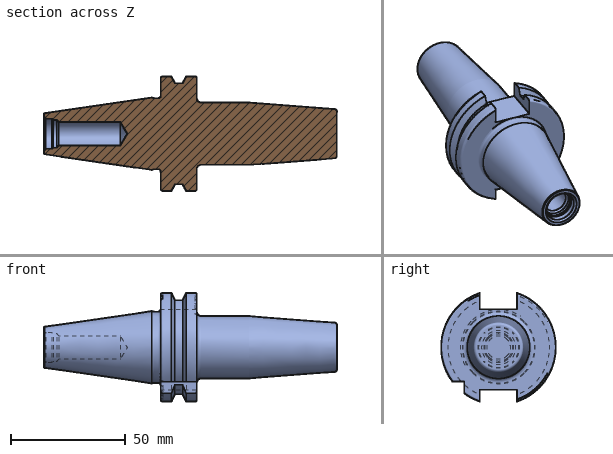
import cadquery as cq
import math

total_length = 127.6

taper_length = 47.0
gauge_radius = 15.8
taper_ratio = 7 / 24
taper_end_radius = gauge_radius - taper_length * taper_ratio / 2
taper_end_chamfer = 0.3

relief_radius = 15.6
relief_cone_length = 1.0
relief_fillet = 1.0

flange_start = 50.8
flange_width = 15.8
flange_end = flange_start + flange_width
flange_radius = 25.0
flange_edge_fillet = 0.9
groove_start = 55.5
groove_width = 6.4
groove_end = groove_start + groove_width
groove_flank_width = 1.5
groove_depth = 2.9

slot_width = 16.1
top_slot_floor = 16.6
bottom_slot_floor = 18.5
notch_offset = 14.9

nose_radius = 13.7
nose_base_fillet = 1.8
nose_cylinder_end = 89.2
nose_tip_radius = 10.7
nose_tip_fillet = 1.1

mouth_radius = 7.4
counterbore_radius = 6.5
counterbore_depth = 3.5
pilot_radius = 6.0
pilot_end = 5.5
thread_radius = 5.1
bore_depth = 33.2
drill_half_angle = math.radians(59)


def revolve_about_x(outline):
    return outline.close().revolve(360, (0, 0, 0), (1, 0, 0))


def make_taper():
    chamfer_slope = taper_end_chamfer * taper_ratio / 2
    return revolve_about_x(
        cq.Workplane("XY")
        .lineTo(0, taper_end_radius - taper_end_chamfer)
        .lineTo(taper_end_chamfer, taper_end_radius + chamfer_slope)
        .lineTo(taper_length, gauge_radius)
        .lineTo(taper_length + relief_cone_length, relief_radius)
        .lineTo(flange_start - relief_fillet, relief_radius)
        .radiusArc((flange_start, relief_radius + relief_fillet), -relief_fillet)
        .lineTo(flange_start, 0)
    )


def make_flange():
    disc = cq.Workplane("YZ", origin=(flange_start, 0, 0)).circle(flange_radius).extrude(flange_width)
    disc = disc.edges("%CIRCLE").fillet(flange_edge_fillet)
    groove_floor = flange_radius - groove_depth
    groove = revolve_about_x(
        cq.Workplane("XY")
        .moveTo(groove_start, flange_radius)
        .lineTo(groove_start + groove_flank_width, groove_floor)
        .lineTo(groove_end - groove_flank_width, groove_floor)
        .lineTo(groove_end, flange_radius)
    )
    return disc.cut(groove)


def flange_cutter(y_min, y_max, z_min, z_max):
    return (
        cq.Workplane("XY")
        .box(flange_width, y_max - y_min, z_max - z_min, centered=False)
        .translate((flange_start, y_min, z_min))
    )


def make_nose():
    nose = revolve_about_x(
        cq.Workplane("XY")
        .moveTo(flange_end, 0)
        .lineTo(flange_end, nose_radius + nose_base_fillet)
        .radiusArc((flange_end + nose_base_fillet, nose_radius), -nose_base_fillet)
        .lineTo(nose_cylinder_end, nose_radius)
        .lineTo(total_length, nose_tip_radius)
        .lineTo(total_length, 0)
    )
    return nose.faces(">X").edges().fillet(nose_tip_fillet)


def make_bore():
    cone_depth = thread_radius / math.tan(drill_half_angle)
    return revolve_about_x(
        cq.Workplane("XY")
        .lineTo(0, mouth_radius)
        .lineTo(mouth_radius - counterbore_radius, counterbore_radius)
        .lineTo(counterbore_depth, counterbore_radius)
        .lineTo(counterbore_depth + counterbore_radius - pilot_radius, pilot_radius)
        .lineTo(pilot_end, pilot_radius)
        .lineTo(pilot_end + pilot_radius - thread_radius, thread_radius)
        .lineTo(bore_depth, thread_radius)
        .lineTo(bore_depth + cone_depth, 0)
    )


half_slot = slot_width / 2
top_slot = flange_cutter(-half_slot, half_slot, top_slot_floor, flange_radius)
bottom_slot = flange_cutter(-half_slot, half_slot, -flange_radius, -bottom_slot_floor)
notch = flange_cutter(-flange_radius, -notch_offset, -flange_radius, -notch_offset)

flange = make_flange().cut(top_slot).cut(bottom_slot).cut(notch)
result = make_taper().union(flange).union(make_nose()).cut(make_bore())